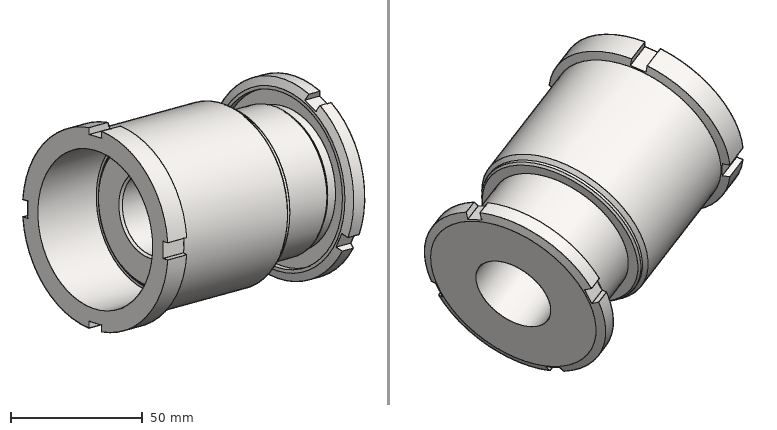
import cadquery as cq

TOTAL_LENGTH = 105.0
FLANGE_DIAMETER = 79.9
FLANGE_RADIUS = FLANGE_DIAMETER / 2
FRONT_Y = -TOTAL_LENGTH / 2
BACK_Y = TOTAL_LENGTH / 2

FLANGE_BEVEL = 1.3
SLOT_COUNT = 4
SLOT_WIDTH = 6.8
SLOT_FLOOR_RADIUS = 37.0

SLEEVE_RADIUS = 36.6
SLEEVE_LENGTH = 69.7
SLEEVE_FLANGE_LENGTH = 11.2
SLEEVE_BORE_RADIUS = 31.5
SLEEVE_COLLAR_RADIUS = 35.1
SLEEVE_COLLAR_LENGTH = 2.0
SLEEVE_COLLAR_CHAMFER = 0.8
SLEEVE_SHOULDER_CHAMFER = SLEEVE_RADIUS - SLEEVE_COLLAR_RADIUS
SLEEVE_BACK_Y = FRONT_Y + SLEEVE_LENGTH
SLEEVE_FLANGE_Y = FRONT_Y + SLEEVE_FLANGE_LENGTH

SHAFT_RADIUS = 30.0
SHAFT_FRONT_Y = -23.3
SHAFT_BACK_Y = 42.1
SHAFT_CHAMFER = 1.4
SHAFT_BORE_RADIUS = 16.5
SHAFT_BORE_CHAMFER = 0.9
LEDGE_DEPTH = 1.6
SEAT_CHAMFER = 0.3

SPINDLE_FLANGE_LENGTH = 8.4
SPINDLE_FLANGE_FACE_RADIUS = 36.4
SPINDLE_FLANGE_Y = BACK_Y - SPINDLE_FLANGE_LENGTH
SPINDLE_TURN = 27.6
BOSS_RADIUS = 28.5
BOSS_CHAMFER = 0.5
RECESS_RADIUS = 35.1
RECESS_DEPTH = 2.6


def revolve_profile(points):
    """Revolve a closed (radius, y) outline about the Y axis."""
    return cq.Workplane("XY").polyline(points).close().revolve(360, (0, 0, 0), (0, 1, 0))


def cut_edge_slots(body, start_y, end_y, turn=0.0):
    """Cut the spanner slots evenly around a flange."""
    slot_height = FLANGE_RADIUS
    for index in range(SLOT_COUNT):
        slot = (
            cq.Workplane("XY")
            .box(SLOT_WIDTH, end_y - start_y, slot_height)
            .translate((0, (start_y + end_y) / 2, SLOT_FLOOR_RADIUS + slot_height / 2))
            .rotate((0, 0, 0), (0, 1, 0), turn + index * 360 / SLOT_COUNT)
        )
        body = body.cut(slot)
    return body


def make_sleeve():
    """Flanged sleeve with a wide front bore and a narrower seat for the shaft."""
    ledge_y = SHAFT_FRONT_Y + LEDGE_DEPTH
    collar_front_y = SLEEVE_BACK_Y - SLEEVE_COLLAR_LENGTH
    sleeve = revolve_profile([
        (SLEEVE_BORE_RADIUS, FRONT_Y),
        (FLANGE_RADIUS, FRONT_Y),
        (FLANGE_RADIUS, SLEEVE_FLANGE_Y - FLANGE_BEVEL),
        (SLEEVE_RADIUS, SLEEVE_FLANGE_Y),
        (SLEEVE_RADIUS, collar_front_y - SLEEVE_SHOULDER_CHAMFER),
        (SLEEVE_COLLAR_RADIUS, collar_front_y),
        (SLEEVE_COLLAR_RADIUS, SLEEVE_BACK_Y - SLEEVE_COLLAR_CHAMFER),
        (SLEEVE_COLLAR_RADIUS - SLEEVE_COLLAR_CHAMFER, SLEEVE_BACK_Y),
        (SHAFT_RADIUS, SLEEVE_BACK_Y),
        (SHAFT_RADIUS, ledge_y + SEAT_CHAMFER),
        (SHAFT_RADIUS + SEAT_CHAMFER, ledge_y),
        (SLEEVE_BORE_RADIUS, ledge_y),
    ])
    return cut_edge_slots(sleeve, FRONT_Y, SLEEVE_FLANGE_Y)


def make_spindle():
    """Hollow shaft ending in a bevelled, slotted flange."""
    shaft_end_radius = SHAFT_RADIUS - SHAFT_CHAMFER
    boss_end_radius = BOSS_RADIUS - BOSS_CHAMFER
    spindle = revolve_profile([
        (SHAFT_BORE_RADIUS, SHAFT_FRONT_Y + SHAFT_BORE_CHAMFER),
        (SHAFT_BORE_RADIUS + SHAFT_BORE_CHAMFER, SHAFT_FRONT_Y),
        (shaft_end_radius, SHAFT_FRONT_Y),
        (SHAFT_RADIUS, SHAFT_FRONT_Y + SHAFT_CHAMFER),
        (SHAFT_RADIUS, SHAFT_BACK_Y - SHAFT_CHAMFER),
        (shaft_end_radius, SHAFT_BACK_Y),
        (boss_end_radius, SHAFT_BACK_Y),
        (BOSS_RADIUS, SHAFT_BACK_Y + BOSS_CHAMFER),
        (BOSS_RADIUS, SPINDLE_FLANGE_Y + RECESS_DEPTH),
        (RECESS_RADIUS, SPINDLE_FLANGE_Y + RECESS_DEPTH),
        (RECESS_RADIUS, SPINDLE_FLANGE_Y),
        (SPINDLE_FLANGE_FACE_RADIUS, SPINDLE_FLANGE_Y),
        (FLANGE_RADIUS, SPINDLE_FLANGE_Y + FLANGE_BEVEL),
        (FLANGE_RADIUS, BACK_Y - FLANGE_BEVEL),
        (SPINDLE_FLANGE_FACE_RADIUS, BACK_Y),
        (SHAFT_BORE_RADIUS, BACK_Y),
    ])
    spindle = spindle.rotate((0, 0, 0), (0, 1, 0), SPINDLE_TURN)
    return cut_edge_slots(spindle, SPINDLE_FLANGE_Y, BACK_Y, SPINDLE_TURN)


sleeve = make_sleeve()
spindle = make_spindle()
result = cq.Compound.makeCompound([sleeve.val(), spindle.val()])